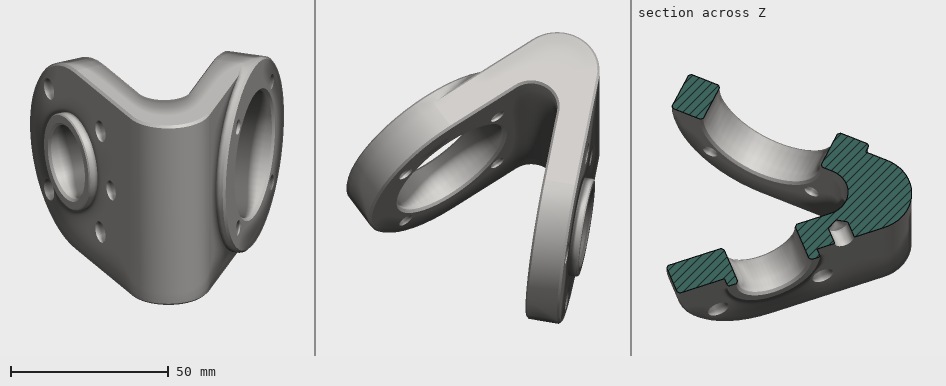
import cadquery as cq
import math

leg_angle = 45.0
straight_length = 71.0
tilted_length = 71.5
leg_thickness = 11.0
leg_width = 63.0
elbow_outer_radius = 13.5
elbow_inner_radius = 8.3
leg_chamfer = 0.75

bolt_circle_diameter = 50.0
bolt_count = 4

pilot_diameter = leg_width / 2
pilot_height = 3.0
pilot_chamfer = 0.4
pilot_bore_diameter = 24.0
pilot_bore_chamfer = 0.8
clearance_hole_diameter = 7.0
pin_hole_diameter = 6.5
pin_hole_depth = 6.0
drill_point_angle = 118.0

raised_height = 3.0
raised_chamfer = 0.75
large_bore_diameter = 41.0
large_bore_chamfer = 0.8
narrow_hole_diameter = 5.0

angle = math.radians(leg_angle)
tilt_x = -math.cos(angle)
tilt_y = math.sin(angle)
corner = (straight_length, 0.0)
tilted_origin = (corner[0] + tilted_length * tilt_x, corner[1] + tilted_length * tilt_y)
straight_plane = cq.Plane(origin=(0, 0, 0), xDir=(1, 0, 0), normal=(0, -1, 0))
tilted_plane = cq.Plane(origin=(*tilted_origin, 0), xDir=(-tilt_x, -tilt_y, 0), normal=(tilt_y, -tilt_x, 0))


def disc(plane, diameter, bottom, top):
    """Cylinder on a leg's bore axis between two heights above the outer face."""
    return cq.Workplane(plane).workplane(offset=bottom).circle(diameter / 2).extrude(top - bottom)


def leg_point(plane, along, height):
    """Point at mid-width of a leg, from local distance along it and height above its outer face."""
    point = plane.toWorldCoords((along, 0, height))
    return (point.x, point.y)


def elbow_points(vertex, radius):
    """Start, middle and end of a round tangent to both legs at a corner on the straight leg."""
    half_angle = angle / 2
    tangent = radius / math.tan(half_angle)
    to_centre = radius / math.sin(half_angle)
    start = (vertex[0] - tangent, vertex[1])
    middle = (
        vertex[0] - (to_centre - radius) * math.cos(half_angle),
        vertex[1] + (to_centre - radius) * math.sin(half_angle),
    )
    end = (vertex[0] + tangent * tilt_x, vertex[1] + tangent * tilt_y)
    return start, middle, end


def make_body():
    """Bent plate with round ends and chamfered rims."""
    inner_corner = (corner[0] - leg_thickness / math.tan(angle / 2), leg_thickness)
    outer_start, outer_middle, outer_end = elbow_points(corner, elbow_outer_radius)
    inner_start, inner_middle, inner_end = elbow_points(inner_corner, elbow_inner_radius)
    body = (
        cq.Workplane("XY")
        .workplane(offset=-leg_width / 2)
        .moveTo(*leg_point(straight_plane, 0, 0))
        .lineTo(*outer_start)
        .threePointArc(outer_middle, outer_end)
        .lineTo(*leg_point(tilted_plane, 0, 0))
        .lineTo(*leg_point(tilted_plane, 0, -leg_thickness))
        .lineTo(*inner_end)
        .threePointArc(inner_middle, inner_start)
        .lineTo(*leg_point(straight_plane, 0, -leg_thickness))
        .close()
        .extrude(leg_width)
    )
    for plane in (straight_plane, tilted_plane):
        body = body.union(disc(plane, leg_width, -leg_thickness, 0))

    outer_edge = (outer_start[0] / 2, 0, leg_width / 2)
    inner_edge = (inner_start[0] / 2, leg_thickness, leg_width / 2)
    for edge_middle in (outer_edge, inner_edge):
        body = body.edges(cq.selectors.NearestToPointSelector(edge_middle)).chamfer(leg_chamfer)
    return body


def add_boss(body, plane, diameter, height, chamfer):
    """Round boss on a leg's outer face, chamfered at its top rim, rooted at mid-thickness."""
    boss = disc(plane, diameter, -leg_thickness / 2, height)
    boss = boss.faces(cq.selectors.DirectionMinMaxSelector(plane.zDir)).edges().chamfer(chamfer)
    return body.union(boss)


def cut_bore(body, plane, diameter, top, chamfer):
    """Through bore with a chamfer at both mouths."""
    half_section = [
        (0, -leg_thickness),
        (diameter / 2 + chamfer, -leg_thickness),
        (diameter / 2, -leg_thickness + chamfer),
        (diameter / 2, top - chamfer),
        (diameter / 2 + chamfer, top),
        (0, top),
    ]
    section_plane = cq.Plane(origin=plane.origin, xDir=plane.xDir, normal=-plane.yDir)
    bore = cq.Workplane(section_plane).polyline(half_section).close().revolve(360, (0, 0), (0, 1))
    return body.cut(bore)


def cut_bolt_holes(body, plane, diameter, top):
    """Through holes on the bolt circle, on the diagonals of the leg."""
    holes = (
        cq.Workplane(plane)
        .workplane(offset=-leg_thickness)
        .polarArray(bolt_circle_diameter / 2, 180 / bolt_count, 360, bolt_count)
        .circle(diameter / 2)
        .extrude(leg_thickness + top)
    )
    return body.cut(holes)


def cut_pin_hole(body):
    """Blind drilled hole on the bolt circle, on the elbow side of the straight leg."""
    radius = pin_hole_diameter / 2
    point_depth = radius / math.tan(math.radians(drill_point_angle / 2))
    centre_x = bolt_circle_diameter / 2
    half_section = [
        (centre_x, 0),
        (centre_x + radius, 0),
        (centre_x + radius, pin_hole_depth),
        (centre_x, pin_hole_depth + point_depth),
    ]
    hole = (
        cq.Workplane("XY")
        .polyline(half_section)
        .close()
        .revolve(360, (centre_x, 0), (centre_x, 1))
    )
    return body.cut(hole)


result = make_body()
result = add_boss(result, straight_plane, pilot_diameter, pilot_height, pilot_chamfer)
result = add_boss(result, tilted_plane, leg_width, raised_height, raised_chamfer)
result = cut_bore(result, straight_plane, pilot_bore_diameter, pilot_height, pilot_bore_chamfer)
result = cut_bore(result, tilted_plane, large_bore_diameter, raised_height, large_bore_chamfer)
result = cut_bolt_holes(result, straight_plane, clearance_hole_diameter, 0)
result = cut_bolt_holes(result, tilted_plane, narrow_hole_diameter, raised_height)
result = cut_pin_hole(result)